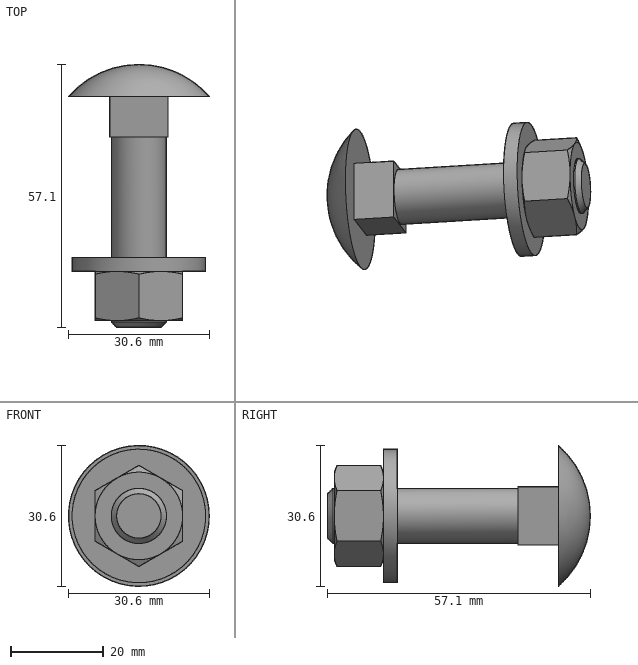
import cadquery as cq
import math


total_length = 57.15
head_diameter = 30.65
head_height = 7.0
neck_width = 12.7
neck_length = 8.8
shank_diameter = 12.0
tip_diameter = 9.65
tip_chamfer_length = 1.2
washer_diameter = 29.05
washer_thickness = 3.05
nut_across_flats = 19.05
nut_height = 10.7
nut_chamfer_angle = 22.0
tip_protrusion = 1.5

tip_y = head_height - total_length
nut_outer_y = tip_y + tip_protrusion
nut_inner_y = nut_outer_y + nut_height
washer_inner_y = nut_inner_y + washer_thickness


def revolve_about_y(profile):
    """Revolve a closed XY profile a full turn about the Y axis."""
    return profile.revolve(360, (0, 0, 0), (0, 1, 0))


def cylinder(diameter, y_start, y_end):
    """Cylinder on the Y axis, running from y_start to y_end."""
    plane = cq.Workplane("XZ", origin=(0, y_end, 0))
    return plane.circle(diameter / 2).extrude(y_end - y_start)


def make_bolt():
    """Domed head, square neck and shank with a chamfered tip."""
    head_radius = head_diameter / 2
    dome_radius = (head_radius**2 + head_height**2) / (2 * head_height)
    dome_centre_y = head_height - dome_radius
    half_angle = math.asin(head_radius / dome_radius) / 2
    dome_mid = (
        dome_radius * math.sin(half_angle),
        dome_centre_y + dome_radius * math.cos(half_angle),
    )
    head = revolve_about_y(
        cq.Workplane("XY")
        .lineTo(head_radius, 0)
        .threePointArc(dome_mid, (0, head_height))
        .close()
    )
    neck = cq.Workplane("XZ").rect(neck_width, neck_width).extrude(neck_length)
    shank_radius = shank_diameter / 2
    shank = revolve_about_y(
        cq.Workplane("XY")
        .lineTo(shank_radius, 0)
        .lineTo(shank_radius, tip_y + tip_chamfer_length)
        .lineTo(tip_diameter / 2, tip_y)
        .lineTo(0, tip_y)
        .close()
    )
    return head.union(neck).union(shank)


def make_washer():
    """Plain round washer that fits the shank."""
    disc = cylinder(washer_diameter, nut_inner_y, washer_inner_y)
    return disc.cut(cylinder(shank_diameter, nut_inner_y, washer_inner_y))


def make_nut():
    """Hexagon nut with corners on Z and conical chamfers on both faces."""
    across_corners = nut_across_flats / math.cos(math.radians(30))
    hexagon = (
        cq.Workplane("XZ", origin=(0, nut_inner_y, 0))
        .transformed(rotate=(0, 0, 90))
        .polygon(6, across_corners)
        .extrude(nut_height)
    )
    face_radius = nut_across_flats / 2
    corner_radius = across_corners / 2
    chamfer_length = (corner_radius - face_radius) * math.tan(math.radians(nut_chamfer_angle))
    chamfer_envelope = revolve_about_y(
        cq.Workplane("XY")
        .moveTo(0, nut_outer_y)
        .lineTo(face_radius, nut_outer_y)
        .lineTo(corner_radius, nut_outer_y + chamfer_length)
        .lineTo(corner_radius, nut_inner_y - chamfer_length)
        .lineTo(face_radius, nut_inner_y)
        .lineTo(0, nut_inner_y)
        .close()
    )
    bore = cylinder(shank_diameter, nut_outer_y, nut_inner_y)
    return hexagon.intersect(chamfer_envelope).cut(bore)


bolt = make_bolt()
washer = make_washer()
nut = make_nut()

result = cq.Compound.makeCompound([bolt.val(), washer.val(), nut.val()])